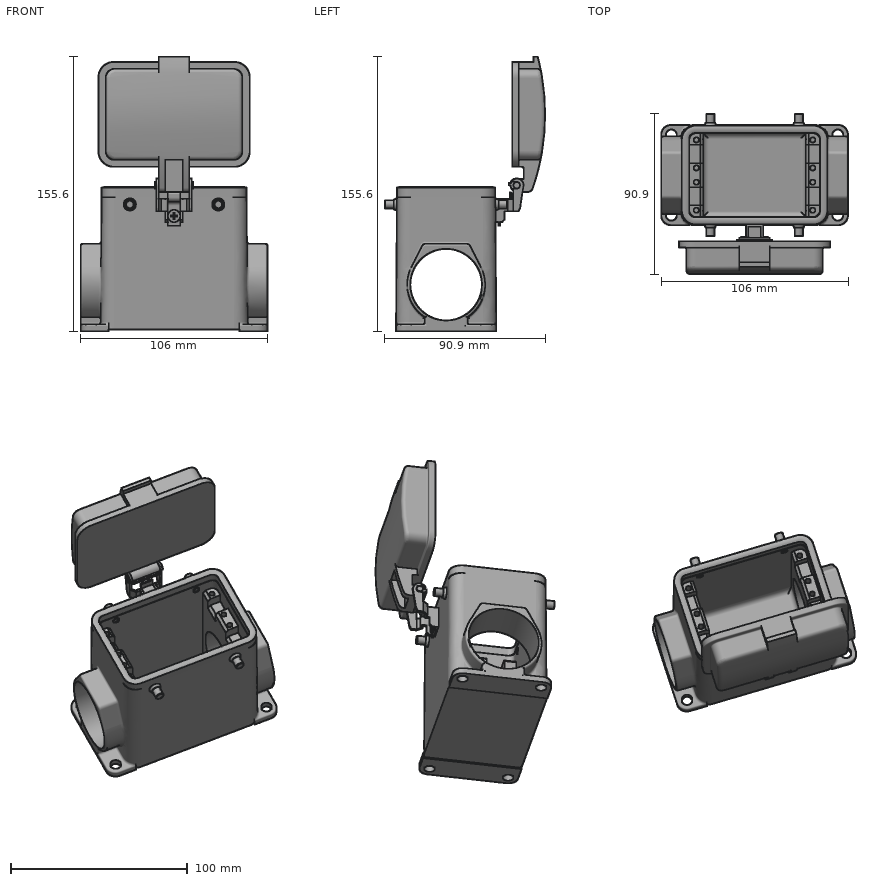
import cadquery as cq
import math

housing_top = 81.8
base_length, base_depth = 83.4, 57.0
rim_length, rim_depth = 82.3, 55.9
band_bottom = 76.1
shell_corner = 7.6
rim_wall = 4.0
crown_height = 0.5
wall_draft = math.degrees(math.atan((base_length - rim_length) / 2 / band_bottom))

mouth_length, mouth_depth = rim_length - 2 * rim_wall, rim_depth - 2 * rim_wall
mouth_corner = shell_corner - rim_wall
step_inset = 0.2
shelf_height = 68.5
well_length, well_depth = 58.2, 47.3
shelf_chamfer = 1.7
floor_thickness = 3.1
floor_fillet = 3.1
insert_screw_x = 33.0
insert_screw_ys = (4.0, 19.9)
insert_screw_diameter = 3.0
insert_screw_depth = 9.3
pocket_inner_y, pocket_outer_y = 6.8, 17.1
pocket_depth = 6.2

flange_length = 106.0
flange_thickness = 3.9
flange_corner = 5.8
flange_edge = 0.8
foot_root_fillet = 1.4
foot_relief_length = 74.0
foot_relief_height = 1.0
mount_hole_x, mount_hole_y = 47.1, 22.7
mount_hole_diameter = 6.0

entry_height = 26.5
entry_bore = 40.5
collar_radius = 22.1
collar_top = 49.6
collar_slope = 27.0
collar_roof_corner = 2.3
collar_web_half = 12.1
collar_edge = 1.2

peg_x, peg_z = 25.0, 71.9
peg_diameter = 4.8
peg_tip_y = 34.7
peg_tip_chamfer = 0.3
peg_root_y = 29.7
peg_root_large, peg_root_small = 7.0, 5.5
peg_back_diameter = 3.7
peg_back_depth = 0.6

lid_length, lid_height = 85.9, 59.6
lid_center_z = 122.9
lid_corner = 8.9
lid_back_y, lid_plate_y = -37.3, -41.0
lid_plate_edge = 0.6
dome_length, dome_height = 77.5, 51.7
dome_corner = 5.1
dome_fillet = 2.3
dome_root_fillet = 0.6
dome_crest_y = -56.2
dome_radius = 127.5
rib_half = 8.7
tab_back_y = -49.5
tab_top = 155.6
arm_back_y = -43.9
arm_bottom = 78.9
arm_notch_bottom = 86.3
arm_tip_radius = 3.3
arm_notch_fillet = 1.0
arm_recess_half = 5.0
arm_recess_top = 97.1
arm_recess_floor_y = -45.5

pivot_y, pivot_z = -40.0, 82.8
pivot_diameter = 3.7
pivot_half_length = 10.9
pivot_boss_radius = 3.6
cam_back_y = -35.5
cam_height = 1.4
sheet = 1.4
bracket_base_y = -28.0
bracket_half = 5.0
bracket_top = 75.0
bracket_low = 61.9
bracket_wing_low = 68.0
bracket_wing_y = -34.8
bracket_side_y = -33.1
bracket_low_chamfer = 1.4
ear_bottom_y = -41.0
ear_low_y, ear_low_z = -42.0, 70.0
ear_radius = 3.9
ear_back_y = -38.0
leaf_half = 3.6
leaf_bottom = 59.9
leaf_top = 78.7
leaf_tip_y = -37.3
leaf_sheet = 1.2
leaf_drop = 0.3
leaf_outer_bend = 2.5
leaf_inner_bend = 2.2
leaf_tip_round = 1.1
wing_bend = 1.4
bracket_screw_z = 65.3
bracket_screw_diameter = 7.0
bracket_screw_height = 0.5
drive_length, drive_width = 3.7, 0.8

wall_edge_band = 1.2
margin = 0.2
overlap = 0.8


def rounded_box(length, depth, bottom, top, radius):
    block = cq.Workplane("XY").workplane(offset=bottom).rect(length, depth).extrude(top - bottom)
    return block.edges("|Z").fillet(radius)


def lid_slab(length, height, back_y, front_y, radius):
    """Rounded rectangle in the lid's plane, from back_y out to front_y."""
    slab = cq.Workplane("XZ", origin=(0, back_y, lid_center_z)).rect(length, height)
    return slab.extrude(back_y - front_y).edges("|Y").fillet(radius)


def across_x(outline, half):
    """Extrude a closed YZ outline symmetrically about X = 0."""
    return outline.extrude(half, both=True)


def within(low, high):
    """Selector for what is centred inside the box between two corners, with a small margin."""
    return cq.selectors.BoxSelector(
        [value - margin for value in low], [value + margin for value in high])


def centred_at(x, y, z):
    """Selector for the one edge centred at a point."""
    return within((x, y, z), (x, y, z))


def rim_crown():
    """Arched crest swept around the top of the rim."""
    base_z = housing_top - crown_height
    path = cq.Workplane("XY").workplane(offset=base_z).rect(
        rim_length - rim_wall, rim_depth - rim_wall).extrude(crown_height)
    path = path.edges("|Z").fillet(shell_corner - rim_wall / 2).faces("<Z").wires()
    middle = (rim_depth - rim_wall) / 2
    profile = (
        cq.Workplane("YZ")
        .moveTo(middle - rim_wall / 2, base_z - overlap)
        .lineTo(middle - rim_wall / 2, base_z)
        .threePointArc((middle, housing_top), (middle + rim_wall / 2, base_z))
        .lineTo(middle + rim_wall / 2, base_z - overlap)
        .close()
    )
    return profile.sweep(path)


def shell():
    lower = (
        cq.Workplane("XY")
        .sketch().rect(base_length, base_depth).vertices().fillet(shell_corner).finalize()
        .extrude(band_bottom, taper=wall_draft)
    )
    band = rounded_box(rim_length, rim_depth, band_bottom, housing_top - crown_height, shell_corner)
    return lower.union(band)


def flange():
    """Foot plate with its middle relieved, so that the housing stands on its two ends."""
    plate = rounded_box(flange_length, base_depth, 0, flange_thickness, flange_corner)
    plate = plate.faces(">Z").edges().fillet(flange_edge)
    middle = cq.Workplane("XY").box(foot_relief_length, 2 * base_depth, 2 * flange_thickness)
    return plate.cut(middle)


def collars():
    """Both cable entry collars with their webs down to the flange, as one bar through the shell."""
    half_length = flange_length / 2
    slope = math.radians(collar_slope)
    roof = collar_top - entry_height
    roof_half = (collar_radius - roof * math.sin(slope)) / math.cos(slope)
    tangent_y = collar_radius * math.cos(slope)
    tangent_z = collar_radius * math.sin(slope)
    web_z = -math.sqrt(collar_radius**2 - collar_web_half**2)
    bar = (
        cq.Workplane("YZ", origin=(-half_length, 0, entry_height))
        .moveTo(-collar_web_half, -entry_height)
        .lineTo(-collar_web_half, web_z)
        .threePointArc((-collar_radius, 0), (-tangent_y, tangent_z))
        .lineTo(-roof_half, roof)
        .lineTo(roof_half, roof)
        .lineTo(tangent_y, tangent_z)
        .threePointArc((collar_radius, 0), (collar_web_half, web_z))
        .lineTo(collar_web_half, -entry_height)
        .close()
        .extrude(flange_length)
    )
    for corner_y in (-roof_half, roof_half):
        bar = bar.edges(centred_at(0, corner_y, collar_top)).fillet(collar_roof_corner)
    above_foot = within(
        (-half_length, -collar_radius, flange_thickness / 2), (half_length, collar_radius, collar_top))
    return bar.faces("<X or >X").edges(above_foot).fillet(collar_edge)


def outer_body():
    """Shell, flange and collars joined, with the inside corners between them rounded."""
    wall_foot_x = base_length / 2
    foot_root_y = base_depth / 2 - flange_edge - 2 * margin
    part = shell().union(flange())
    foot_roots = within(
        (-wall_foot_x, -foot_root_y, flange_thickness), (wall_foot_x, foot_root_y, flange_thickness))
    part = part.edges(foot_roots).fillet(foot_root_fillet)
    part = part.union(collars())
    wall_x = rim_length / 2
    for side in (-1, 1):
        x_range = sorted((side * (wall_x - wall_edge_band), side * (wall_x + wall_edge_band)))
        wall_edges = within(
            (x_range[0], -collar_radius, flange_thickness + overlap),
            (x_range[1], collar_radius, collar_top))
        part = part.edges(wall_edges).fillet(collar_edge)
    return part


def pegs():
    shapes = cq.Workplane("XY")
    for x in (-peg_x, peg_x):
        for side in (-1, 1):
            root_y = rim_depth / 2 - overlap
            profile = (
                cq.Workplane("XY", origin=(x, 0, peg_z))
                .moveTo(0, root_y)
                .lineTo(peg_root_large / 2, root_y)
                .lineTo(peg_root_large / 2, root_y + overlap)
                .lineTo(peg_root_small / 2, peg_root_y)
                .lineTo(peg_diameter / 2, peg_root_y)
                .lineTo(peg_diameter / 2, peg_tip_y - peg_tip_chamfer)
                .lineTo(peg_diameter / 2 - peg_tip_chamfer, peg_tip_y)
                .lineTo(0, peg_tip_y)
                .close()
            )
            peg = profile.revolve(360, (0, 0, 0), (0, 1, 0))
            if side < 0:
                peg = peg.mirror("XZ")
            shapes = shapes.add(peg)
    return shapes


def cavity():
    """Open mouth, the seat down to the end shelves, and the well between the shelves."""
    mouth = rounded_box(mouth_length, mouth_depth, band_bottom, housing_top + overlap, mouth_corner)
    seat = rounded_box(
        mouth_length - 2 * step_inset, well_depth, shelf_height, band_bottom, mouth_corner)
    well = cq.Workplane("XY").box(
        well_length, well_depth, shelf_height - floor_thickness, centered=(True, True, False))
    well = well.translate((0, 0, floor_thickness)).faces("<Z").edges().fillet(floor_fillet)
    ramp = (
        cq.Workplane("XZ", origin=(0, well_depth / 2, 0))
        .moveTo(-well_length / 2, shelf_height - shelf_chamfer)
        .lineTo(well_length / 2, shelf_height - shelf_chamfer)
        .lineTo(well_length / 2 + shelf_chamfer, shelf_height)
        .lineTo(-well_length / 2 - shelf_chamfer, shelf_height)
        .close()
        .extrude(well_depth)
    )
    return mouth.union(seat).union(well).union(ramp)


def shelf_pockets_and_holes():
    cuts = cq.Workplane("XY")
    seat_half = mouth_length / 2 - step_inset
    well_half = well_length / 2
    pocket_floor = shelf_height - pocket_depth
    for x_side in (-1, 1):
        for y_side in (-1, 1):
            pocket = (
                cq.Workplane("XZ", origin=(0, y_side * pocket_inner_y, 0))
                .moveTo(x_side * seat_half, shelf_height)
                .lineTo(x_side * seat_half, pocket_floor)
                .lineTo(x_side * (well_half + shelf_chamfer), pocket_floor)
                .lineTo(x_side * well_half, pocket_floor - shelf_chamfer)
                .lineTo(x_side * well_half, shelf_height)
                .close()
                .extrude(y_side * (pocket_inner_y - pocket_outer_y))
            )
            cuts = cuts.add(pocket)
            for y in insert_screw_ys:
                cuts = cuts.add(
                    cq.Workplane("XY", origin=(x_side * insert_screw_x, y_side * y, shelf_height))
                    .circle(insert_screw_diameter / 2).extrude(-insert_screw_depth))
    return cuts


def peg_back_recesses():
    wall_y = well_depth / 2
    spots = [(-peg_x, peg_z), (peg_x, peg_z)]
    return (
        cq.Workplane("XZ", origin=(0, wall_y + peg_back_depth, 0))
        .pushPoints(spots).circle(peg_back_diameter / 2)
        .extrude(2 * (wall_y + peg_back_depth))
    )


def leaf():
    """Sheet strip that rises from the screw, runs out and turns up against the lid's pivot boss."""
    wall_y = bracket_base_y - sheet
    run_top = bracket_top - leaf_drop
    outline = (
        cq.Workplane("YZ")
        .moveTo(wall_y, leaf_bottom)
        .lineTo(wall_y, run_top)
        .lineTo(leaf_tip_y + leaf_sheet, run_top)
        .lineTo(leaf_tip_y + leaf_sheet, leaf_top)
        .lineTo(leaf_tip_y, leaf_top)
        .lineTo(leaf_tip_y, run_top - leaf_sheet)
        .lineTo(wall_y - leaf_sheet, run_top - leaf_sheet)
        .lineTo(wall_y - leaf_sheet, leaf_bottom)
        .close()
    )
    strip = across_x(outline, leaf_half)
    bends = (
        (leaf_tip_y, run_top - leaf_sheet, leaf_outer_bend),
        (wall_y - leaf_sheet, run_top - leaf_sheet, leaf_inner_bend),
        (leaf_tip_y, leaf_top, leaf_tip_round),
    )
    for y, z, radius in bends:
        strip = strip.edges(centred_at(0, y, z)).fillet(radius)
    return strip


def bracket_ear(side):
    """Plate beside the lid arm, with a slot that opens toward the housing to take the pivot pin."""
    front_y = pivot_y - ear_radius
    outline = (
        cq.Workplane("YZ")
        .moveTo(ear_back_y, bracket_wing_low)
        .lineTo(ear_bottom_y, bracket_wing_low)
        .lineTo(ear_low_y, ear_low_z)
        .lineTo(front_y, pivot_z)
        .threePointArc((pivot_y, pivot_z + ear_radius), (pivot_y + ear_radius, pivot_z))
        .lineTo(ear_back_y, pivot_z)
        .close()
    )
    plate = outline.extrude(side * sheet).translate((side * rib_half, 0, 0))
    slot_reach = side * (rib_half + sheet)
    seat = cq.Workplane("YZ").circle(pivot_diameter / 2).extrude(slot_reach)
    entry = cq.Workplane("YZ").center(ear_radius, 0).rect(2 * ear_radius, pivot_diameter)
    slot = seat.union(entry.extrude(slot_reach))
    return plate.cut(slot.translate((0, pivot_y, pivot_z)))


def bracket():
    """Hinge bracket: base, side walls that flare into wings, ears, leaf and screw."""
    height = bracket_top - bracket_low
    base_thickness = sheet + overlap
    base = cq.Workplane("XY").box(2 * bracket_half, base_thickness, height, centered=(True, False, False))
    part = base.translate((0, bracket_base_y - sheet, bracket_low))
    part = part.union(leaf())
    for side in (-1, 1):
        wall = (
            cq.Workplane("YZ")
            .moveTo(bracket_base_y, bracket_low)
            .lineTo(bracket_base_y, bracket_top)
            .lineTo(bracket_wing_y - sheet, bracket_top)
            .lineTo(bracket_wing_y - sheet, bracket_wing_low)
            .lineTo(bracket_side_y, bracket_wing_low)
            .lineTo(bracket_side_y, bracket_low + bracket_low_chamfer)
            .lineTo(bracket_side_y + bracket_low_chamfer, bracket_low)
            .close()
            .extrude(-side * sheet)
            .translate((side * bracket_half, 0, 0))
        )
        wing_inner = bracket_half - sheet
        wing = (
            cq.Workplane("XY", origin=(0, 0, bracket_wing_low))
            .moveTo(side * wing_inner, bracket_wing_y)
            .lineTo(side * (rib_half - sheet), bracket_wing_y)
            .lineTo(side * (rib_half + sheet), ear_back_y)
            .lineTo(side * (rib_half + sheet), ear_back_y - overlap)
            .lineTo(side * rib_half, ear_back_y - overlap)
            .lineTo(side * rib_half, ear_back_y)
            .lineTo(side * (rib_half - sheet), bracket_wing_y - sheet)
            .lineTo(side * wing_inner, bracket_wing_y - sheet)
            .close()
            .extrude(bracket_top - bracket_wing_low)
        )
        hat_side = wall.union(wing)
        bend_x, bend_y = side * wing_inner, bracket_wing_y - sheet
        bend_z = (bracket_top + bracket_wing_low) / 2
        hat_side = hat_side.edges(centred_at(bend_x, bend_y, bend_z)).fillet(wing_bend)
        part = part.union(hat_side).union(bracket_ear(side))
    return part.union(bracket_screw())


def bracket_screw():
    seat_y = bracket_base_y - sheet - leaf_sheet
    head = cq.Workplane("XZ", origin=(0, seat_y + overlap, bracket_screw_z))
    head = head.circle(bracket_screw_diameter / 2).extrude(overlap + bracket_screw_height)
    drive = cq.Workplane("XZ", origin=(0, seat_y, bracket_screw_z))
    for length, width in ((drive_length, drive_width), (drive_width, drive_length)):
        head = head.cut(drive.rect(length, width).extrude(bracket_screw_height))
    return head


def make_housing():
    part = outer_body().union(pegs())
    part = part.cut(cavity())
    part = part.union(rim_crown())
    part = part.cut(shelf_pockets_and_holes()).cut(peg_back_recesses())
    bore = cq.Workplane("YZ", origin=(-flange_length / 2, 0, entry_height))
    part = part.cut(bore.circle(entry_bore / 2).extrude(flange_length))
    mount_holes = cq.Workplane("XY").rect(2 * mount_hole_x, 2 * mount_hole_y, forConstruction=True)
    part = part.cut(mount_holes.vertices().circle(mount_hole_diameter / 2).extrude(flange_thickness))
    relief = cq.Workplane("XY").box(foot_relief_length, 2 * base_depth, 2 * foot_relief_height)
    part = part.cut(relief)
    return part.union(bracket())


def dome_arc_y(z):
    """Y of the lid's curved front at height z."""
    return dome_crest_y + dome_radius - math.sqrt(dome_radius**2 - (z - lid_center_z)**2)


def dome():
    block = lid_slab(dome_length, dome_height, lid_back_y - overlap, dome_crest_y - overlap, dome_corner)
    barrel = cq.Workplane("YZ", origin=(-lid_length, dome_crest_y + dome_radius, lid_center_z))
    block = block.intersect(barrel.circle(dome_radius).extrude(2 * lid_length))
    return block.faces("<Y").edges().fillet(dome_fillet)


def rib_and_arm():
    lid_top = lid_center_z + lid_height / 2
    lid_bottom = lid_center_z - lid_height / 2
    outline = (
        cq.Workplane("YZ")
        .moveTo(lid_back_y - overlap, lid_top)
        .lineTo(tab_back_y, lid_top)
        .lineTo(tab_back_y, tab_top)
        .lineTo(dome_arc_y(tab_top), tab_top)
        .threePointArc((dome_crest_y, lid_center_z), (dome_arc_y(arm_bottom), arm_bottom))
        .lineTo(pivot_y, arm_bottom)
        .lineTo(pivot_y, arm_notch_bottom)
        .lineTo(arm_back_y, arm_notch_bottom)
        .lineTo(arm_back_y, lid_bottom)
        .lineTo(lid_back_y - overlap, lid_bottom)
        .close()
    )
    rib = across_x(outline, rib_half)
    rib = rib.edges(centred_at(0, dome_arc_y(arm_bottom), arm_bottom)).fillet(arm_tip_radius)
    return rib.edges(centred_at(0, arm_back_y, lid_bottom)).fillet(arm_notch_fillet)


def make_lid():
    plate = lid_slab(lid_length, lid_height, lid_back_y, lid_plate_y, lid_corner)
    plate = plate.faces("<Y").edges().fillet(lid_plate_edge)
    part = plate.union(dome())
    dome_root = within(
        (-dome_length / 2, lid_plate_y, lid_center_z - dome_height / 2),
        (dome_length / 2, lid_plate_y, lid_center_z + dome_height / 2))
    part = part.edges(dome_root).fillet(dome_root_fillet)
    part = part.union(rib_and_arm())
    pivot = cq.Workplane("YZ", origin=(0, pivot_y, pivot_z))
    part = part.union(across_x(pivot.circle(pivot_boss_radius), rib_half))
    recess = cq.Workplane("XY").box(
        2 * arm_recess_half, arm_recess_floor_y - dome_crest_y, arm_recess_top - arm_bottom + overlap,
        centered=(True, False, False))
    part = part.cut(recess.translate((0, dome_crest_y, arm_bottom - overlap)))
    cam = cq.Workplane("XY").box(
        2 * rib_half, cam_back_y - pivot_y, cam_height, centered=(True, False, False))
    part = part.union(cam.translate((0, pivot_y, pivot_z)))
    return part.union(across_x(pivot.circle(pivot_diameter / 2), pivot_half_length))


housing = make_housing()
lid = make_lid()
result = cq.Compound.makeCompound([housing.val(), lid.val()])